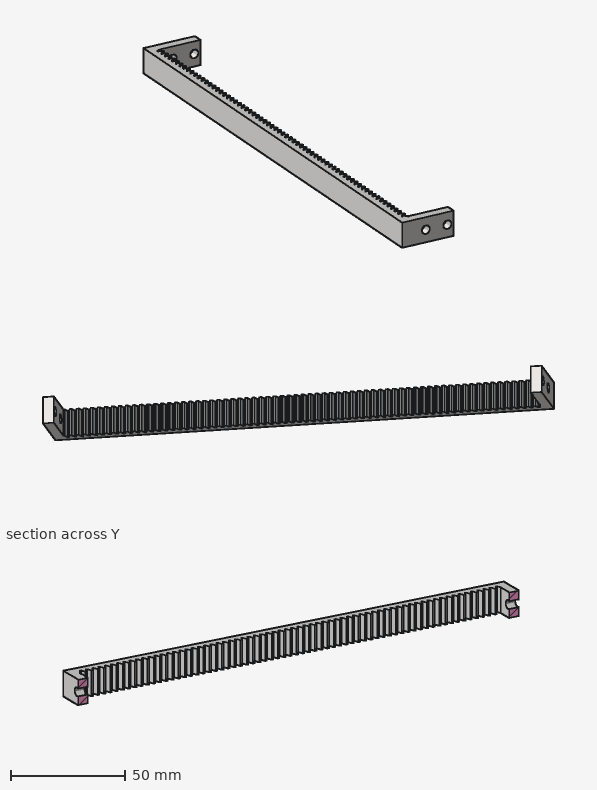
import cadquery as cq
import math

LENGTH = 223.0
DEPTH = 26.0
HEIGHT = 12.0

ARM_THICKNESS = 5.0
HOLE_DIAMETER = 4.0
HOLE_POSITIONS_Y = (12.0, 23.0)

TOOTH_TIP_Y = 6.0
TOOTH_COUNT = 69
TOOTH_SPAN = 213.6
RACK_OFFSET = -0.3
PRESSURE_ANGLE = math.radians(20)
DEDENDUM_FACTOR = 1.25

pitch = TOOTH_SPAN / (TOOTH_COUNT - 1)
module = pitch / math.pi
pitch_line_y = TOOTH_TIP_Y - module
root_y = pitch_line_y - DEDENDUM_FACTOR * module


def half_tooth_width(y):
    """Half the width of a tooth at depth y, on its straight flanks."""
    return pitch / 4 - (y - pitch_line_y) * math.tan(PRESSURE_ANGLE)


def rack_outline():
    """Bar outline with a trapezoidal tooth repeated along its back edge."""
    root_half = half_tooth_width(root_y)
    tip_half = half_tooth_width(TOOTH_TIP_Y)
    first_x = RACK_OFFSET - TOOTH_SPAN / 2
    points = [(-LENGTH / 2, 0), (-LENGTH / 2, root_y)]
    for i in range(TOOTH_COUNT):
        x = first_x + i * pitch
        points += [
            (x - root_half, root_y),
            (x - tip_half, TOOTH_TIP_Y),
            (x + tip_half, TOOTH_TIP_Y),
            (x + root_half, root_y),
        ]
    points += [(LENGTH / 2, root_y), (LENGTH / 2, 0)]
    return points


def make_rack():
    return cq.Workplane("XY").polyline(rack_outline()).close().extrude(HEIGHT / 2, both=True)


def make_arms():
    arm_x = (LENGTH - ARM_THICKNESS) / 2
    return (
        cq.Workplane("XY")
        .pushPoints([(-arm_x, DEPTH / 2), (arm_x, DEPTH / 2)])
        .rect(ARM_THICKNESS, DEPTH)
        .extrude(HEIGHT / 2, both=True)
    )


def make_holes():
    """Cylinders along X that pass through both arms."""
    return (
        cq.Workplane("YZ")
        .pushPoints([(y, 0) for y in HOLE_POSITIONS_Y])
        .circle(HOLE_DIAMETER / 2)
        .extrude(LENGTH / 2, both=True)
    )


result = make_rack().union(make_arms()).cut(make_holes())